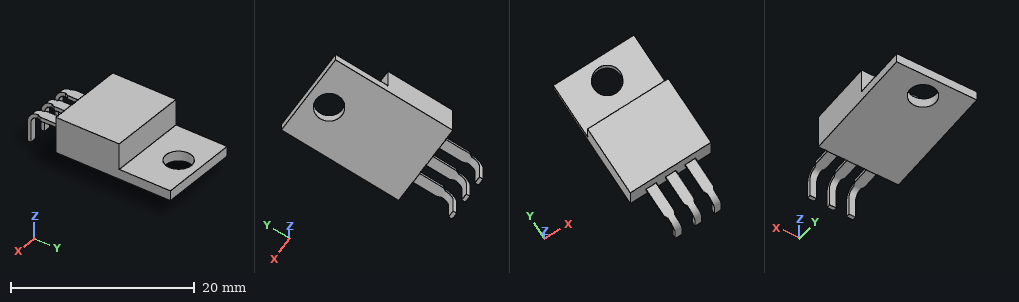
import cadquery as cq

width = 10.5
body_length = 8.57
body_height = 4.7
tab_length = 6.91
tab_thickness = 1.32
hole_diameter = 3.4
hole_to_tab_end = 2.73

lead_count = 3
lead_pitch = 2.55
lead_thickness = 0.5
lead_top = 2.08
lead_reach = 5.53
lead_drop = 2.0
wide_width = 1.35
narrow_width = 0.9
wide_length = 3.61
bend_outer_radius = 1.5

tab_end = body_length + tab_length
bend_inner_radius = bend_outer_radius - lead_thickness
bend_start = lead_reach - bend_outer_radius


def make_package():
    """Molded body with a thin, drilled tab behind it."""
    body = cq.Workplane("XY").box(width, body_length, body_height, centered=(True, False, False))
    tab = cq.Workplane("XY").box(width, tab_end, tab_thickness, centered=(True, False, False))
    hole = (
        cq.Workplane("XY")
        .center(0, tab_end - hole_to_tab_end)
        .circle(hole_diameter / 2)
        .extrude(tab_thickness)
    )
    return body.union(tab).cut(hole)


def make_lead():
    """Flat lead that narrows, then bends down through a quarter turn."""
    lead_bottom = lead_top - lead_thickness
    side_profile = (
        cq.Workplane("YZ")
        .moveTo(0, lead_top)
        .lineTo(-bend_start, lead_top)
        .radiusArc((-lead_reach, lead_top - bend_outer_radius), -bend_outer_radius)
        .lineTo(-lead_reach, -lead_drop)
        .lineTo(-lead_reach + lead_thickness, -lead_drop)
        .lineTo(-lead_reach + lead_thickness, lead_top - bend_outer_radius)
        .radiusArc((-bend_start, lead_bottom), bend_inner_radius)
        .lineTo(0, lead_bottom)
        .close()
        .extrude(wide_width / 2, both=True)
    )
    plan_outline = (
        cq.Workplane("XY")
        .workplane(offset=-lead_drop)
        .moveTo(-wide_width / 2, 0)
        .lineTo(-wide_width / 2, -wide_length)
        .lineTo(-narrow_width / 2, -bend_start)
        .lineTo(-narrow_width / 2, -lead_reach)
        .lineTo(narrow_width / 2, -lead_reach)
        .lineTo(narrow_width / 2, -bend_start)
        .lineTo(wide_width / 2, -wide_length)
        .lineTo(wide_width / 2, 0)
        .close()
        .extrude(lead_drop + lead_top)
    )
    return side_profile.intersect(plan_outline)


result = make_package()
lead = make_lead()
for index in range(lead_count):
    lead_x = (index - (lead_count - 1) / 2) * lead_pitch
    result = result.union(lead.translate((lead_x, 0, 0)))